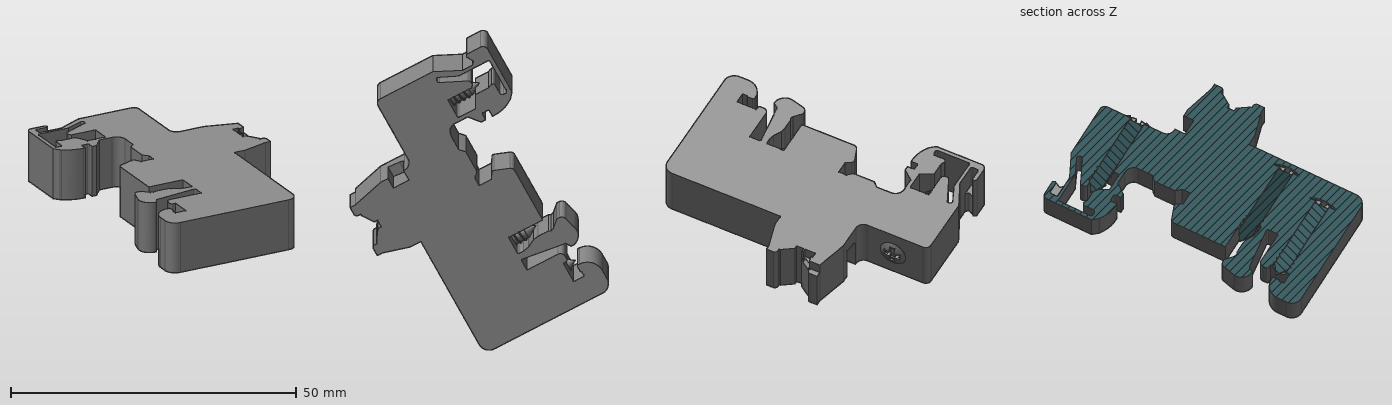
import cadquery as cq
import math

THICKNESS = 9.5
MID_Z = THICKNESS / 2
LENGTH = 50.0
TOP_Y = 35.1
LEFT_SHOULDER_Y = 21.9
RIGHT_SHOULDER_Y = 27.15
RAIL_Y = 13.25
RIGHT_FOOT_Y = 1.65
LEDGE_Y = 7.05

TOWER_X = 20.125
HORN_OUTER = 5.025
HORN_INNER = 3.05
VALLEY_OUTER = 2.8
VALLEY_INNER = 0.675
HORN_ROOT_Y = 34.05
VALLEY_SLOPE_END_Y = 32.6
VALLEY_FLOOR_Y = 31.95
HORN_RADIUS = 0.6
NECK_X = 13.55

LATCH_FLOOR_Z = 7.55
LATCH_POST_X = 19.1
LATCH_BEVEL = 0.6
LATCH_CLEARANCE = 0.5

LABEL_DEPTH = 2.0

WALL_X = 2.25
HOOK_WIDTH = 0.75
SLOT_BOTTOM_Y = 1.4
SLOT_FLOOR_Z = MID_Z

SHANK_RADIUS = 1.3
TIP_LENGTH = 2.0
SEAT_HEIGHT = LEFT_SHOULDER_Y - 4.95
HEAD_RADIUS = 2.5
HEAD_HEIGHT = 0.6
CROSS_WIDTH = 1.0
CROSS_LENGTH = 3.2
CROSS_DEPTH = 1.0
THREAD_RADIUS = 1.55
THREAD_PITCH = 1.0
THREAD_TURNS = 4
THREAD_START = TIP_LENGTH + 0.2
THREAD_ROOT_WIDTH = 0.3
THREAD_CREST_WIDTH = 0.1
THREAD_ROOT_SINK = 0.1

LEFT_TIP = (7.0, LEFT_SHOULDER_Y - SEAT_HEIGHT)
MIDDLE_TIP = (34.8, 8.7)
RIGHT_TIP = (43.7, 5.65)


def rounded_outline(corners, z=0.0):
    """Closed outline at height z; a corner (x, y, r) is rounded with radius r, (x, y) stays sharp."""
    stops = []
    for i, corner in enumerate(corners):
        point = cq.Vector(corner[0], corner[1], 0)
        if len(corner) == 2:
            stops.append((point,))
            continue
        before = cq.Vector(*corners[i - 1][:2], 0)
        after = cq.Vector(*corners[(i + 1) % len(corners)][:2], 0)
        to_before = (before - point).normalized()
        to_after = (after - point).normalized()
        half_angle = to_before.getAngle(to_after) / 2
        tangent_length = corner[2] / math.tan(half_angle)
        apex_distance = corner[2] / math.sin(half_angle) - corner[2]
        apex = point + (to_before + to_after).normalized() * apex_distance
        stops.append((point + to_before * tangent_length, apex, point + to_after * tangent_length))

    path = cq.Workplane("XY", origin=(0, 0, z)).moveTo(stops[0][-1].x, stops[0][-1].y)
    for stop in stops[1:] + stops[:1]:
        if stop is not stops[0] or len(stop) == 3:
            path = path.lineTo(stop[0].x, stop[0].y)
        if len(stop) == 3:
            path = path.threePointArc((stop[1].x, stop[1].y), (stop[2].x, stop[2].y))
    return path.close()


def housing_outline():
    spring_foot = [
        (0, LEFT_SHOULDER_Y, 1.0),
        (0, 10.45),
        (WALL_X, 5.75),
        (WALL_X, 3.75),
        (1.75, 3.25, 0.2),
        (HOOK_WIDTH, 3.75),
        (0.55, 3.95, 0.1),
        (0, 3.95, 0.45),
        (0, 0, 0.95),
        (9.9, 0),
        (10.9, 0.85),
        (12.2, 2.7, 6.5),
        (12.2, 5.15),
        (10.85, 5.15, 0.15),
        (10.85, 6.5, 0.2),
        (12.2, 6.5),
        (12.2, 7.4),
        (10.25, 9.0),
    ]
    rail_opening = [
        (10.25, RAIL_Y, 1.7),
        (14.75, RAIL_Y),
        (15.7, 12.35),
        (19.8, 12.35),
        (20.75, RAIL_Y),
        (22.3, RAIL_Y),
        (22.3, 10.8),
        (20.95, 9.95, 0.45),
        (22.25, 6.45, 0.85),
        (33.15, 6.45),
        (33.15, RAIL_Y),
    ]
    tongue = [
        (36.6, RAIL_Y, 0.2),
        (36.6, 12.15),
        (36.35, 11.05),
        (35.55, 9.55),
        (35.4, 8.55),
        (35.4, 6.55),
        (35.6, 6.1),
        (35.4, 5.55),
        (34.15, 4.15, 0.4),
        (34.2, 2.95, 0.95),
        (39.85, 1.45, 2.1),
        (39.8, 4.35),
        (38.85, 4.95),
        (37.75, RAIL_Y, 0.3),
    ]
    right_foot = [
        (39.95, RAIL_Y),
        (39.95, 6.15, 0.95),
        (41.9, 6.15, 0.35),
        (41.9, LEDGE_Y),
        (45.7, LEDGE_Y),
        (45.7, 4.95),
        (44.8, 4.95),
        (44.65, 5.15),
        (43.35, 5.15, 0.25),
        (43.35, RIGHT_FOOT_Y, 3.0),
        (LENGTH, RIGHT_FOOT_Y, 1.95),
        (LENGTH, RIGHT_SHOULDER_Y, 2.0),
    ]
    tower = [
        (26.5, RIGHT_SHOULDER_Y),
        (26.5, 29.25),
        (TOWER_X + HORN_OUTER, HORN_ROOT_Y),
        (TOWER_X + HORN_OUTER, TOP_Y),
        (TOWER_X + HORN_INNER, TOP_Y, HORN_RADIUS),
        (TOWER_X + HORN_INNER, HORN_ROOT_Y),
        (TOWER_X + VALLEY_OUTER, HORN_ROOT_Y),
        (TOWER_X + VALLEY_INNER, VALLEY_SLOPE_END_Y),
        (TOWER_X + VALLEY_INNER, VALLEY_FLOOR_Y),
        (TOWER_X - VALLEY_INNER, VALLEY_FLOOR_Y),
        (TOWER_X - VALLEY_INNER, VALLEY_SLOPE_END_Y),
        (TOWER_X - VALLEY_OUTER, HORN_ROOT_Y),
        (TOWER_X - HORN_INNER, HORN_ROOT_Y),
        (TOWER_X - HORN_INNER, TOP_Y, HORN_RADIUS),
        (TOWER_X - HORN_OUTER, TOP_Y),
        (TOWER_X - HORN_OUTER, HORN_ROOT_Y),
        (NECK_X, 28.15),
        (NECK_X, LEFT_SHOULDER_Y, 1.5),
    ]
    return rounded_outline(spring_foot + rail_opening + tongue + right_foot + tower)


def spring_cavity():
    """Through opening that leaves the spring wall, the wedge and the inner prong standing."""
    return rounded_outline([
        (1.15, 10.6, 0.4),
        (2.85, 6.85),
        (2.85, 0.75, 0.25),
        (9.55, 0.75, 0.3),
        (9.55, 2.0, 0.5),
        (7.1, 2.0, 0.25),
        (6.95, 2.5),
        (7.25, 3.3),
        (7.25, 5.85),
        (7.75, 6.15),
        (9.55, 7.05),
        (9.55, 10.6, 0.25),
        (5.85, 10.6),
        (5.85, 5.85),
        (5.4, 5.45, 0.4),
        (4.6, 5.45, 0.6),
        (2.2, 10.6, 0.35),
    ]).extrude(THICKNESS)


def hook_slot():
    """Pocket between the hook and the spring wall, open to the upper face."""
    return rounded_outline([
        (HOOK_WIDTH, 4.0),
        (HOOK_WIDTH, SLOT_BOTTOM_Y, 0.35),
        (WALL_X, SLOT_BOTTOM_Y, 0.2),
        (WALL_X, 4.0),
    ], SLOT_FLOOR_Z).extrude(THICKNESS - SLOT_FLOOR_Z)


def latch_recess():
    """Recess that lowers the left horn and the valley slope and leaves a thin post at the valley."""
    outside_y = TOP_Y + LATCH_CLEARANCE
    return rounded_outline([
        (TOWER_X - HORN_OUTER, HORN_ROOT_Y),
        (17.15, HORN_ROOT_Y),
        (17.45, 33.15),
        (17.45, 33.0),
        (TOWER_X - HORN_INNER, 33.0),
        (TOWER_X - HORN_INNER, VALLEY_FLOOR_Y),
        (LATCH_POST_X, VALLEY_FLOOR_Y),
        (LATCH_POST_X, 32.55),
        (TOWER_X - VALLEY_INNER, VALLEY_SLOPE_END_Y),
        (TOWER_X - VALLEY_INNER, outside_y),
        (TOWER_X - HORN_OUTER, outside_y),
    ], LATCH_FLOOR_Z).extrude(THICKNESS - LATCH_FLOOR_Z)


def latch_bevel():
    """Bevel along the lowered valley slope."""
    slope_top = cq.Vector(TOWER_X - VALLEY_OUTER, HORN_ROOT_Y, LATCH_FLOOR_Z)
    slope_end = cq.Vector(TOWER_X - VALLEY_INNER, VALLEY_SLOPE_END_Y, LATCH_FLOOR_Z)
    along = slope_end - slope_top
    length_to_post = along.Length * (LATCH_POST_X - slope_top.x) / along.x
    inward = cq.Vector(along.y, -along.x, 0)
    bevel_plane = cq.Plane(origin=slope_top, xDir=inward, normal=along)
    triangle = [(0, 0), (LATCH_BEVEL, 0), (0, LATCH_BEVEL)]
    return cq.Workplane(bevel_plane).polyline(triangle).close().extrude(length_to_post)


def label_recess():
    """Recess in the left side of the neck, open to the lower face."""
    return (
        cq.Workplane("YZ", origin=(NECK_X, 0, 0))
        .moveTo(23.6, 0)
        .lineTo(26.7, 0)
        .lineTo(26.7, 6.7)
        .lineTo(24.4, 6.15)
        .threePointArc((23.95, 5.95), (23.6, 5.6))
        .close()
        .extrude(LABEL_DEPTH)
    )


def tip_bore():
    """Straight mouth of the right screw hole around the screw tip."""
    depth = RIGHT_TIP[1] + TIP_LENGTH - LEDGE_Y
    start = cq.Vector(RIGHT_TIP[0], LEDGE_Y, MID_Z)
    return cq.Workplane(cq.Solid.makeCylinder(SHANK_RADIUS, depth, start, cq.Vector(0, 1, 0)))


def thread():
    """Right-handed ridge around the lower shank, along Z."""
    root_radius = SHANK_RADIUS - THREAD_ROOT_SINK
    helix = cq.Wire.makeHelix(THREAD_PITCH, THREAD_PITCH * THREAD_TURNS, SHANK_RADIUS)
    ridge = (
        cq.Workplane("XZ")
        .polyline([
            (root_radius, -THREAD_ROOT_WIDTH / 2),
            (THREAD_RADIUS, -THREAD_CREST_WIDTH / 2),
            (THREAD_RADIUS, THREAD_CREST_WIDTH / 2),
            (root_radius, THREAD_ROOT_WIDTH / 2),
        ])
        .close()
        .sweep(cq.Workplane(helix), isFrenet=True)
    )
    return ridge.rotate((0, 0, 0), (0, 0, 1), 180).translate((0, 0, THREAD_START))


def screw_body():
    """Pointed, threaded screw with a domed head and no driver recess; the tip is at the origin, +Z is up."""
    top = SEAT_HEIGHT + HEAD_HEIGHT
    dome_radius = (HEAD_RADIUS**2 + HEAD_HEIGHT**2) / (2 * HEAD_HEIGHT)
    dome_mid_radius = HEAD_RADIUS / 2
    dome_mid_z = top - dome_radius + math.sqrt(dome_radius**2 - dome_mid_radius**2)
    shape = (
        cq.Workplane("XZ")
        .lineTo(SHANK_RADIUS, TIP_LENGTH)
        .lineTo(SHANK_RADIUS, SEAT_HEIGHT)
        .lineTo(HEAD_RADIUS, SEAT_HEIGHT)
        .threePointArc((dome_mid_radius, dome_mid_z), (0, top))
        .close()
        .revolve(360, (0, 0, 0), (0, 1, 0))
    )
    return shape.union(thread())


def cross_recess():
    """Driver cross sunk into the head."""
    centre = cq.Workplane("XY", origin=(0, 0, SEAT_HEIGHT + HEAD_HEIGHT - CROSS_DEPTH / 2))
    arm_x = centre.box(CROSS_LENGTH, CROSS_WIDTH, CROSS_DEPTH)
    arm_y = centre.box(CROSS_WIDTH, CROSS_LENGTH, CROSS_DEPTH)
    return arm_x.union(arm_y)


def place_screw(shape, tip):
    """Turn a shape from +Z to +Y and move it to the given tip position."""
    return shape.rotate((0, 0, 0), (1, 0, 0), -90).translate((tip[0], tip[1], MID_Z))


housing = housing_outline().extrude(THICKNESS)
for opening in (spring_cavity(), hook_slot(), latch_recess(), latch_bevel(), label_recess(), tip_bore()):
    housing = housing.cut(opening)

blank_screw = screw_body()
finished_screw = blank_screw.cut(cross_recess())
screws = []
for screw_tip in (LEFT_TIP, MIDDLE_TIP, RIGHT_TIP):
    housing = housing.cut(place_screw(blank_screw, screw_tip))
    screws.append(place_screw(finished_screw, screw_tip))

result = cq.Compound.makeCompound([*housing.solids().vals(), *[screw.solids().val() for screw in screws]])